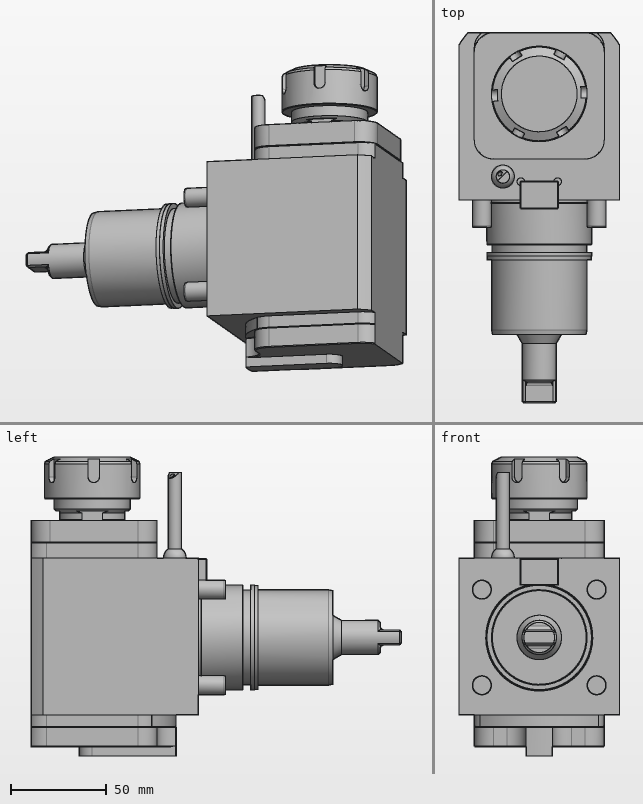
import math

import cadquery as cq


BLOCK_WIDTH = 84.0
BLOCK_DEPTH = 87.5
BLOCK_TOP = 41.5
BLOCK_BOTTOM = -40.5
BLOCK_BACK_RADIUS = 49.2
SPINDLE_Y = 55.5

PLATE_SIZE = 68.0
PLATE_CORNER_RADIUS = 10.0
PLATE_CHAMFER = 0.5
PLATE_FRONT = SPINDLE_Y - PLATE_SIZE / 2
SEAT_PLATE_TOP = 49.5
TOP_PLATE_TOP = 61.2
BOSS_BOTTOM = -46.5
BASE_PLATE_BOTTOM = -57.2

FRONT_ARC_RADIUS = 44.0
BAR_WIDTH = 13.7
BAR_BLEND_RADIUS = 10.0
BAR_BOTTOM = -62.0

NUT_RADIUS = 25.0
NUT_BOTTOM = 72.5
NUT_TOP = 94.41
NUT_FACE_RADIUS = 19.8
NUT_BREAK = 0.4
NUT_CONE_END = (24.5, 92.1)
NUT_RIM_TOP = 90.8
COLLAR_RADIUS = 20.0
COLLAR_BOTTOM = 67.2
NECK_RADIUS = 17.9
FLAT_COUNT = 4
FLAT_DISTANCE = 17.05
FLAT_TOP = 66.1
FOOT_RADIUS = 18.6
FOOT_TOP = 61.8
SLOT_COUNT = 6
SLOT_WIDTH = 6.0
SLOT_FLOOR_RADIUS = 21.8
SLOT_OUTER_RADIUS = NUT_RADIUS + 1.0
SLOT_ARC_CENTRE_Z = 84.0
SLOT_ANGLE = 2.0

SHANK_RADIUS = 25.0
PILOT_RADIUS = 28.0
PILOT_LENGTH = 1.3
FLANGE_RADIUS = 27.5
FLANGE_END = 23.4
FLANGE_CHAMFER = 0.4
GROOVE_RADIUS = 24.85
GROOVE_END = 27.3
RING_STEP = 29.3
RING_STEP_RADIUS = 27.3
RING_END = 31.2
SHANK_TAPER_START = 68.0
SHANK_END = 70.3
SHANK_END_RADIUS = 24.5

SHAFT_RADIUS = 9.0
SHAFT_CONE_LENGTH = 4.6
SHAFT_CONE_ANGLE = 30.0
SHAFT_CONE_RADIUS = SHAFT_RADIUS + SHAFT_CONE_LENGTH * math.tan(math.radians(SHAFT_CONE_ANGLE))
SHAFT_END = 106.2
TONGUE_THICKNESS = 8.0
TONGUE_LENGTH = 11.1
TONGUE_ROOT_RADIUS = 1.9
SHOULDER_CHAMFER = 1.1
TONGUE_CHAMFER = 1.0

PIN_DIAMETER = 10.0
PIN_TIP_DIAMETER = 9.55
PIN_LENGTH = 14.3
PIN_TAPER_LENGTH = 0.8
PIN_X = 30.0
PIN_Z = 25.0

KEY_WIDTH = 20.0
KEY_BACK = 10.0
KEY_FRONT = -4.6
KEY_OVERLAP = 0.2
KEY_BOTTOM = FLANGE_RADIUS - KEY_OVERLAP
KEY_TOP_DROP = 0.3
KEY_TOP = BLOCK_TOP - KEY_TOP_DROP
KEY_CHAMFER = 0.5
KEY_RELIEF_DIAMETER = 4.0
KEY_RELIEF_INSET = 0.4

PIPE_X = -19.0
PIPE_Y = 12.3
PIPE_DIAMETER = 7.0
PIPE_TOP = 86.3
BALL_RADIUS = 6.0
NOZZLE_OFFSET = 0.4
NOZZLE_HOLE_OFFSET = 2.1
NOZZLE_HOLE_DIAMETER = 2.55
NOZZLE_HOLE_DEPTH = 4.0
NOZZLE_AZIMUTH = 135.0


def box(x0, x1, y0, y1, z0, z1):
    return cq.Workplane("XY").box(x1 - x0, y1 - y0, z1 - z0, centered=False).translate((x0, y0, z0))


def spindle_disc(radius, z0, z1):
    return cq.Workplane("XY", origin=(0, SPINDLE_Y, z0)).circle(radius).extrude(z1 - z0)


def turn_about_z(outline):
    """Turn (radius, height) points about the Z axis."""
    return cq.Workplane("XZ").polyline(outline).close().revolve(360, (0, 0, 0), (0, 1, 0))


def turn_about_shank(outline):
    """Turn (radius, forward distance) points about the Y axis."""
    points = [(radius, -forward) for radius, forward in outline]
    return cq.Workplane("XY").polyline(points).close().revolve(360, (0, 0, 0), (0, 1, 0))


def make_block():
    half = BLOCK_WIDTH / 2
    block = box(-half, half, 0, BLOCK_DEPTH, BLOCK_BOTTOM, BLOCK_TOP)
    front_half = box(-half, half, 0, SPINDLE_Y, BLOCK_BOTTOM, BLOCK_TOP)
    turned = block.intersect(spindle_disc(BLOCK_BACK_RADIUS, BLOCK_BOTTOM, BLOCK_TOP))
    return front_half.union(turned)


def square_plate(back, z0, z1):
    """Rounded plate from PLATE_FRONT to the given back edge."""
    half = PLATE_SIZE / 2
    return box(-half, half, PLATE_FRONT, back, z0, z1).edges("|Z").fillet(PLATE_CORNER_RADIUS)


def trim_to_block_back(body):
    """Cut away whatever projects behind the block's rear face."""
    half = BLOCK_WIDTH / 2
    return body.intersect(box(-half, half, 0, BLOCK_DEPTH, BAR_BOTTOM, NUT_TOP))


def make_top_plates():
    full_back = SPINDLE_Y + PLATE_SIZE / 2
    seat = trim_to_block_back(square_plate(full_back, BLOCK_TOP, SEAT_PLATE_TOP))
    top = square_plate(BLOCK_DEPTH, SEAT_PLATE_TOP, TOP_PLATE_TOP).faces("<Z").edges().chamfer(PLATE_CHAMFER)
    return seat.union(top)


def make_round_boss():
    """Square boss whose front bulges out as an arc about the spindle axis."""
    corner_middle_inset = PLATE_CORNER_RADIUS * (1 - math.sqrt(0.5))
    half = PLATE_SIZE / 2 - corner_middle_inset
    full_back = SPINDLE_Y + PLATE_SIZE / 2
    bulge = box(-half, half, 0, SPINDLE_Y, BOSS_BOTTOM, BLOCK_BOTTOM)
    bulge = bulge.intersect(spindle_disc(FRONT_ARC_RADIUS, BOSS_BOTTOM, BLOCK_BOTTOM))
    return square_plate(full_back, BOSS_BOTTOM, BLOCK_BOTTOM).union(bulge)


def make_base_plate():
    """Square plate with a blended front tab under the boss."""
    half_bar = BAR_WIDTH / 2
    tab_foot = half_bar + BAR_BLEND_RADIUS
    blend_end = PLATE_FRONT - BAR_BLEND_RADIUS
    bend = BAR_BLEND_RADIUS * (1 - math.sqrt(0.5))
    full_back = SPINDLE_Y + PLATE_SIZE / 2
    height = BOSS_BOTTOM - BASE_PLATE_BOTTOM
    tab = (
        cq.Workplane("XY", origin=(0, 0, BASE_PLATE_BOTTOM))
        .moveTo(-tab_foot, SPINDLE_Y)
        .lineTo(-tab_foot, PLATE_FRONT)
        .threePointArc((-half_bar - bend, PLATE_FRONT - bend), (-half_bar, blend_end))
        .lineTo(half_bar, blend_end)
        .threePointArc((half_bar + bend, PLATE_FRONT - bend), (tab_foot, PLATE_FRONT))
        .lineTo(tab_foot, SPINDLE_Y)
        .close()
        .extrude(height)
        .intersect(spindle_disc(FRONT_ARC_RADIUS, BASE_PLATE_BOTTOM, BOSS_BOTTOM))
    )
    plate = square_plate(full_back, BASE_PLATE_BOTTOM, BOSS_BOTTOM)
    return plate.union(tab).faces("<Z or >Z").edges().chamfer(PLATE_CHAMFER)


def make_bar():
    """Round-ended bar that also forms the front face of the base plate's tab."""
    half = BAR_WIDTH / 2
    bar_top = BOSS_BOTTOM - PLATE_CHAMFER
    bar = box(-half, half, 0, SPINDLE_Y, BAR_BOTTOM, bar_top)
    bar = bar.intersect(spindle_disc(FRONT_ARC_RADIUS, BAR_BOTTOM, bar_top))
    return bar.union(spindle_disc(half, BAR_BOTTOM, bar_top))


def make_nose():
    """Spindle neck with four wrench flats, collar and nut, all turned about the spindle axis."""
    neck_outline = [
        (0, TOP_PLATE_TOP),
        (FOOT_RADIUS, TOP_PLATE_TOP),
        (NECK_RADIUS, FOOT_TOP),
        (NECK_RADIUS, COLLAR_BOTTOM - (COLLAR_RADIUS - NECK_RADIUS)),
        (COLLAR_RADIUS, COLLAR_BOTTOM),
        (COLLAR_RADIUS, NUT_BOTTOM),
        (0, NUT_BOTTOM),
    ]
    nut_outline = [
        (0, NUT_BOTTOM),
        (NUT_RADIUS - NUT_BREAK, NUT_BOTTOM),
        (NUT_RADIUS, NUT_BOTTOM + NUT_BREAK),
        (NUT_RADIUS, NUT_RIM_TOP),
        NUT_CONE_END,
        (NUT_FACE_RADIUS, NUT_TOP),
        (0, NUT_TOP),
    ]
    neck = turn_about_z(neck_outline)
    nut = turn_about_z(nut_outline)
    for index in range(FLAT_COUNT):
        flat = box(FLAT_DISTANCE, NUT_RADIUS, -NUT_RADIUS, NUT_RADIUS, TOP_PLATE_TOP, FLAT_TOP)
        neck = neck.cut(flat.rotate((0, 0, 0), (0, 0, 1), 360 / FLAT_COUNT * index))
    half = SLOT_WIDTH / 2
    slot = box(SLOT_FLOOR_RADIUS, SLOT_OUTER_RADIUS, -half, half, SLOT_ARC_CENTRE_Z, NUT_TOP)
    slot_end = cq.Workplane("YZ", origin=(SLOT_FLOOR_RADIUS, 0, SLOT_ARC_CENTRE_Z)).circle(half)
    slot = slot.union(slot_end.extrude(SLOT_OUTER_RADIUS - SLOT_FLOOR_RADIUS))
    for index in range(SLOT_COUNT):
        nut = nut.cut(slot.rotate((0, 0, 0), (0, 0, 1), SLOT_ANGLE + 360 / SLOT_COUNT * index))
    return neck.union(nut).translate((0, SPINDLE_Y, 0))


def make_shank():
    return turn_about_shank([
        (0, 0),
        (PILOT_RADIUS, 0),
        (PILOT_RADIUS, PILOT_LENGTH),
        (FLANGE_RADIUS - FLANGE_CHAMFER, PILOT_LENGTH),
        (FLANGE_RADIUS, PILOT_LENGTH + FLANGE_CHAMFER),
        (FLANGE_RADIUS, FLANGE_END - FLANGE_CHAMFER),
        (FLANGE_RADIUS - FLANGE_CHAMFER, FLANGE_END),
        (GROOVE_RADIUS, FLANGE_END),
        (GROOVE_RADIUS, GROOVE_END),
        (FLANGE_RADIUS, GROOVE_END),
        (FLANGE_RADIUS, RING_STEP),
        (RING_STEP_RADIUS, RING_STEP),
        (RING_STEP_RADIUS, RING_END),
        (SHANK_RADIUS, RING_END),
        (SHANK_RADIUS, SHANK_TAPER_START),
        (SHANK_END_RADIUS, SHANK_END),
        (0, SHANK_END),
    ])


def make_shaft():
    """Drive shaft whose tip is milled to a flat tongue with filleted roots."""
    shoulder = SHAFT_END - TONGUE_LENGTH
    base = turn_about_shank([
        (0, SHANK_END),
        (SHAFT_CONE_RADIUS, SHANK_END),
        (SHAFT_RADIUS, SHANK_END + SHAFT_CONE_LENGTH),
        (SHAFT_RADIUS, shoulder - SHOULDER_CHAMFER),
        (SHAFT_RADIUS - SHOULDER_CHAMFER, shoulder),
        (0, shoulder),
    ])
    half = TONGUE_THICKNESS / 2
    tongue = cq.Workplane("XZ", origin=(0, -shoulder + SHOULDER_CHAMFER, 0)).circle(SHAFT_RADIUS)
    tongue = tongue.extrude(TONGUE_LENGTH + SHOULDER_CHAMFER)
    slab = box(-SHAFT_RADIUS, SHAFT_RADIUS, -SHAFT_END, -shoulder + SHOULDER_CHAMFER, -half, half)
    tongue = tongue.intersect(slab)
    tongue = tongue.faces("<Y or <Z or >Z").edges("not >Y").chamfer(TONGUE_CHAMFER)
    shaft = base.union(tongue)
    envelope = turn_about_shank([
        (0, 0),
        (SHAFT_RADIUS - SHOULDER_CHAMFER, 0),
        (SHAFT_RADIUS - SHOULDER_CHAMFER, SHAFT_END),
        (0, SHAFT_END),
    ])
    for side in (1, -1):
        shaft = shaft.union(make_tongue_root(side, shoulder).intersect(envelope))
    return shaft


def make_tongue_root(side, shoulder):
    """Concave fillet strip between the shoulder and one face of the tongue."""
    surface = side * TONGUE_THICKNESS / 2
    radius = TONGUE_ROOT_RADIUS
    bend = radius * (1 - math.sqrt(0.5))
    return (
        cq.Workplane("YZ", origin=(-SHAFT_RADIUS, 0, 0))
        .moveTo(-shoulder, surface)
        .lineTo(-shoulder, surface + side * radius)
        .threePointArc((-shoulder - bend, surface + side * bend), (-shoulder - radius, surface))
        .close()
        .extrude(2 * SHAFT_RADIUS)
    )


def make_pins():
    pin = turn_about_shank([
        (0, 0),
        (PIN_DIAMETER / 2, 0),
        (PIN_DIAMETER / 2, PIN_LENGTH - PIN_TAPER_LENGTH),
        (PIN_TIP_DIAMETER / 2, PIN_LENGTH),
        (0, PIN_LENGTH),
    ])
    spots = [(x, z) for x in (-PIN_X, PIN_X) for z in (-PIN_Z, PIN_Z)]
    pins = cq.Workplane("XY")
    for x, z in spots:
        pins = pins.add(pin.translate((x, 0, z)))
    return pins.combine()


def make_key_pocket():
    """Pocket in the block for the key, with a round relief at each rear corner."""
    half = KEY_WIDTH / 2
    pocket = box(-half, half, 0, KEY_BACK, KEY_BOTTOM, BLOCK_TOP)
    relief_x = half - KEY_RELIEF_INSET
    relief_y = KEY_BACK - KEY_RELIEF_INSET
    reliefs = (
        cq.Workplane("XY", origin=(0, 0, KEY_BOTTOM))
        .pushPoints([(-relief_x, relief_y), (relief_x, relief_y)])
        .circle(KEY_RELIEF_DIAMETER / 2)
        .extrude(BLOCK_TOP - KEY_BOTTOM)
    )
    return pocket.union(reliefs)


def make_key():
    half = KEY_WIDTH / 2
    return box(-half, half, KEY_FRONT, KEY_BACK, KEY_BOTTOM, KEY_TOP).edges().chamfer(KEY_CHAMFER)


def make_coolant_pipe():
    """Pipe in a ball seat; its tip has a 45 degree face carrying the nozzle hole."""
    ball = cq.Workplane("XY").sphere(BALL_RADIUS).translate((0, 0, BLOCK_TOP))
    radius = PIPE_DIAMETER / 2
    pipe = cq.Workplane("XY", origin=(0, 0, BLOCK_TOP)).circle(radius).extrude(PIPE_TOP - BLOCK_TOP)
    reach = 2 * radius
    wedge = (
        cq.Workplane("XZ", origin=(0, reach, 0))
        .moveTo(NOZZLE_OFFSET, PIPE_TOP)
        .lineTo(NOZZLE_OFFSET + reach, PIPE_TOP)
        .lineTo(NOZZLE_OFFSET + reach, PIPE_TOP - reach)
        .close()
        .extrude(2 * reach)
    )
    mouth = cq.Vector(NOZZLE_HOLE_OFFSET, 0, PIPE_TOP - (NOZZLE_HOLE_OFFSET - NOZZLE_OFFSET))
    inward = cq.Vector(-1, 0, -1)
    hole = cq.Solid.makeCylinder(NOZZLE_HOLE_DIAMETER / 2, NOZZLE_HOLE_DEPTH, mouth, inward)
    pipe = pipe.cut(wedge).cut(cq.Workplane(hole)).union(ball)
    return pipe.rotate((0, 0, 0), (0, 0, 1), NOZZLE_AZIMUTH).translate((PIPE_X, PIPE_Y, 0))


base_parts = make_round_boss().union(make_base_plate())
result = (
    make_block()
    .cut(make_key_pocket())
    .union(make_key())
    .union(make_top_plates())
    .union(trim_to_block_back(base_parts))
    .union(make_bar())
    .union(make_nose())
    .union(make_shank())
    .union(make_shaft())
    .union(make_pins())
    .union(make_coolant_pipe())
)